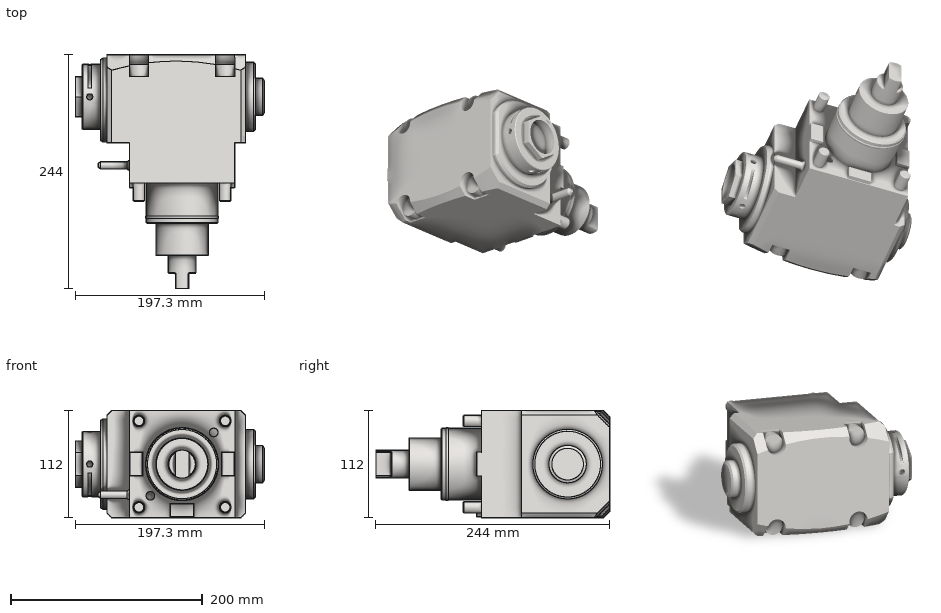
import cadquery as cq
import math


DRILL_TIP_ANGLE = 118.0

HEIGHT = 112.0
REAR_Y = 44.0
STEP_Y = -48.0
FRONT_Y = -90.0
LEFT_X = -78.4
RIGHT_X = 66.2
NARROW_HALF_WIDTH = 55.0
SIDE_CHAMFER = 5.0
MID_X = (LEFT_X + RIGHT_X) / 2

BEVEL_SETBACK = 6.7
BEVEL_RADIUS = 240.0
BEVEL_EXTENT = 100.0

SCREW_OFFSET = 45.0
SCREW_DIAMETER = 12.0
SCREW_END_Y = -109.0
SCREW_CHAMFER = 1.0
POCKET_WIDTH = 20.0
POCKET_DEPTH = 22.8
SCREW_HEAD_DIAMETER = 19.6
SCREW_HEAD_HEIGHT = 12.5

KEY_WIDTH = 25.0
KEY_INNER_EDGE = 41.0
KEY_OUTER_EDGE = 55.0
KEY_HEIGHT = 5.0
KEY_CHAMFER = 0.6

COOLANT_OFFSET = 33.0
COOLANT_DIAMETER = 9.0
COOLANT_DEPTH = 20.0
PLUG_RECESS = 1.0

SHANK_RADIUS = 37.5
SHANK_END_Y = -132.3
SHANK_CHAMFER = 1.4
ORING_Y = -125.6
ORING_HALF_WIDTH = 1.4
ORING_PROTRUSION = 0.6
COLLAR_RADIUS = 27.35
COLLAR_END_Y = -165.5
COLLAR_CHAMFER = 0.5
DRIVE_RADIUS = 14.6
DRIVE_SHOULDER_Y = -184.2
DRIVE_END_Y = -200.0
TANG_WIDTH = 14.0
TANG_ROOT_FILLET = 1.2
TANG_EDGE_CHAMFER = 0.8

FLANGE_RADIUS = 47.3
FLANGE_FLAT_Y = 40.5
FLANGE_FACE_X = -85.3
FLANGE_CHAMFER_LENGTH = 3.0
FLANGE_CHAMFER_DEPTH = 1.8

HEX_FLATS = 42.0
HEX_END_X = -111.4
BORE_DIAMETER = 37.0
BORE_DEPTH = 12.0

NUT_RADIUS = 34.1
NUT_FACE_X = -104.2
NUT_CHAMFER = 0.7
NUT_BORE_RADIUS = HEX_FLATS / math.sqrt(3) + 0.1
NUT_BORE_CHAMFER = 0.7
NUT_FEATURE_X = -96.3
NUT_HOLE_DIAMETER = 6.4
NUT_HOLE_DEPTH = 6.0
NUT_HOLE_COUNT = 4
NUT_SLOT_WIDTH = 3.3
NUT_SLOT_FLOOR = 29.7
NUT_SLOT_ANGLES = (45, 225)

COVER_RADIUS = 36.3
COVER_FACE_X = 76.4
COVER_CHAMFER = 2.0
STUB_RADIUS = 19.5
STUB_END_X = 85.9
STUB_CHAMFER_LENGTH = 3.0
STUB_CHAMFER_DEPTH = 1.8

PIN_Y = -71.5
PIN_Z = -32.0
PIN_RADIUS = 4.0
PIN_TIP_X = -87.6
PIN_TIP_LENGTH = 2.7
PIN_TIP_RADIUS = 1.8
PIN_FOOT_RADIUS = 5.4
PIN_FOOT_LENGTH = 2.4


def box(x_min, x_max, y_min, y_max, z_min, z_max):
    """Axis-aligned box between two corners."""
    size = (x_max - x_min, y_max - y_min, z_max - z_min)
    return cq.Workplane("XY").box(*size, centered=False).translate((x_min, y_min, z_min))


def cylinder_x(radius, x_start, x_end, y=0, z=0):
    """Cylinder along X."""
    plane = cq.Workplane("YZ", origin=(x_start, y, z))
    return plane.circle(radius).extrude(x_end - x_start)


def cylinder_y(radius, y_rear, y_front, x=0, z=0):
    """Cylinder along Y, from its rear end to its front end."""
    plane = cq.Workplane("XZ", origin=(x, y_rear, z))
    return plane.circle(radius).extrude(y_rear - y_front)


def drilled_hole_y(diameter, depth, y_mouth):
    """Blind hole on the Y axis, drilled towards +Y and ending in a cone."""
    radius = diameter / 2
    tip = radius / math.tan(math.radians(DRILL_TIP_ANGLE / 2))
    y_bottom = y_mouth + depth
    profile = [(0, y_mouth), (radius, y_mouth), (radius, y_bottom), (0, y_bottom + tip)]
    return cq.Workplane("XY").polyline(profile).close().revolve(360, (0, 0), (0, 1))


def make_bevel_cut():
    """Region outside the barrel-shaped bevel of the rear top edge."""
    slope = math.sqrt(0.5)
    half_width = RIGHT_X - MID_X + 1
    sag = BEVEL_RADIUS - math.sqrt(BEVEL_RADIUS**2 - half_width**2)
    side_depth = -sag * slope
    plane = cq.Plane(
        origin=(MID_X, REAR_Y - BEVEL_SETBACK, HEIGHT / 2),
        xDir=(1, 0, 0),
        normal=(0, -1, 1),
    )
    return (
        cq.Workplane(plane)
        .moveTo(-half_width, side_depth)
        .threePointArc((0, 0), (half_width, side_depth))
        .lineTo(half_width, BEVEL_EXTENT)
        .lineTo(-half_width, BEVEL_EXTENT)
        .close()
        .extrude(BEVEL_EXTENT, both=True)
    )


def make_block():
    half = HEIGHT / 2
    rear = box(LEFT_X, RIGHT_X, STEP_Y, REAR_Y, -half, half).edges("|Y").chamfer(SIDE_CHAMFER)
    front = box(-NARROW_HALF_WIDTH, NARROW_HALF_WIDTH, FRONT_Y, STEP_Y, -half, half)
    bevel = make_bevel_cut()
    return rear.union(front).cut(bevel).cut(bevel.mirror("XY"))


def make_screw_pocket(x, side):
    """U-shaped pocket open to the rear and to the top (side = 1) or bottom (side = -1)."""
    radius = POCKET_WIDTH / 2
    floor_y = REAR_Y - POCKET_DEPTH
    z_ends = sorted((side * SCREW_OFFSET, side * HEIGHT))
    channel = box(x - radius, x + radius, floor_y, REAR_Y, *z_ends)
    return channel.union(cylinder_y(radius, REAR_Y, floor_y, x, side * SCREW_OFFSET))


def make_screw(x, z):
    """Screw head in the pocket and threaded end in front of the block."""
    floor_y = REAR_Y - POCKET_DEPTH
    head = cylinder_y(SCREW_HEAD_DIAMETER / 2, floor_y + SCREW_HEAD_HEIGHT, floor_y, x, z)
    shaft = cylinder_y(SCREW_DIAMETER / 2, floor_y, SCREW_END_Y, x, z)
    return head.union(shaft.faces("<Y").chamfer(SCREW_CHAMFER))


def make_keys():
    """Left, bottom and right locating keys around the shank."""
    key = box(-KEY_WIDTH / 2, KEY_WIDTH / 2, FRONT_Y - KEY_HEIGHT, FRONT_Y, -KEY_OUTER_EDGE, -KEY_INNER_EDGE)
    key = key.faces("<Y").chamfer(KEY_CHAMFER)
    keys = key
    for angle in (-90, 90):
        keys = keys.union(key.rotate((0, 0, 0), (0, 1, 0), angle))
    return keys


def make_shank():
    body = cylinder_y(SHANK_RADIUS, FRONT_Y, SHANK_END_Y).faces("<Y").chamfer(SHANK_CHAMFER)
    oring = (
        cq.Workplane("XY")
        .moveTo(0, ORING_Y + ORING_HALF_WIDTH)
        .lineTo(SHANK_RADIUS, ORING_Y + ORING_HALF_WIDTH)
        .threePointArc(
            (SHANK_RADIUS + ORING_PROTRUSION, ORING_Y),
            (SHANK_RADIUS, ORING_Y - ORING_HALF_WIDTH),
        )
        .lineTo(0, ORING_Y - ORING_HALF_WIDTH)
        .close()
        .revolve(360, (0, 0), (0, 1))
    )
    collar = cylinder_y(COLLAR_RADIUS, SHANK_END_Y, COLLAR_END_Y).faces("<Y").chamfer(COLLAR_CHAMFER)
    return body.union(oring).union(collar).union(make_drive())


def make_drive():
    """Drive stub ending in a flat tang."""
    drive = cylinder_y(DRIVE_RADIUS, COLLAR_END_Y, DRIVE_END_Y)
    reach = DRIVE_RADIUS + 1
    for side in (-1, 1):
        x_ends = sorted((side * TANG_WIDTH / 2, side * reach))
        cutter = box(*x_ends, DRIVE_END_Y, DRIVE_SHOULDER_Y, -reach, reach)
        root = cutter.faces(">Y").edges("<X" if side > 0 else ">X")
        drive = drive.cut(root.fillet(TANG_ROOT_FILLET))
    tang_region = cq.selectors.BoxSelector(
        (-reach, DRIVE_END_Y, -reach), (reach, DRIVE_SHOULDER_Y, reach)
    )
    return drive.edges("|Y").edges(tang_region).chamfer(TANG_EDGE_CHAMFER)


def make_flange():
    """Left bearing flange with a flat towards the rear and a chamfered outer edge."""
    flat_half = math.sqrt(FLANGE_RADIUS**2 - FLANGE_FLAT_Y**2)
    flange = (
        cq.Workplane("YZ", origin=(FLANGE_FACE_X, 0, 0))
        .moveTo(FLANGE_FLAT_Y, flat_half)
        .threePointArc((-FLANGE_RADIUS, 0), (FLANGE_FLAT_Y, -flat_half))
        .close()
        .extrude(LEFT_X - FLANGE_FACE_X)
    )
    return flange.faces("<X").chamfer(FLANGE_CHAMFER_LENGTH, FLANGE_CHAMFER_DEPTH)


def make_spindle_nose():
    """Round seat for the nut, and the hexagon with its bore."""
    seat = cylinder_x(NUT_BORE_RADIUS, FLANGE_FACE_X, NUT_FACE_X + NUT_BORE_CHAMFER)
    hexagon = (
        cq.Workplane("YZ", origin=(HEX_END_X, 0, 0))
        .polygon(6, HEX_FLATS, circumscribed=True)
        .extrude(FLANGE_FACE_X - HEX_END_X)
    )
    bore = cylinder_x(BORE_DIAMETER / 2, HEX_END_X, HEX_END_X + BORE_DEPTH)
    return seat.union(hexagon).cut(bore)


def make_cover_and_stub():
    cover = cylinder_x(COVER_RADIUS, RIGHT_X, COVER_FACE_X).faces(">X").chamfer(COVER_CHAMFER)
    stub = cylinder_x(STUB_RADIUS, COVER_FACE_X, STUB_END_X)
    return cover.union(stub.faces(">X").chamfer(STUB_CHAMFER_DEPTH, STUB_CHAMFER_LENGTH))


def make_pin():
    """Pin with a conical tip and a flared foot, revolved about its own axis."""
    root_x = -NARROW_HALF_WIDTH
    profile = [
        (PIN_TIP_X, 0),
        (PIN_TIP_X, PIN_TIP_RADIUS),
        (PIN_TIP_X + PIN_TIP_LENGTH, PIN_RADIUS),
        (root_x - PIN_FOOT_LENGTH, PIN_RADIUS),
        (root_x, PIN_FOOT_RADIUS),
        (root_x, 0),
    ]
    pin = cq.Workplane("XY").polyline(profile).close().revolve(360, (0, 0), (1, 0))
    return pin.translate((0, PIN_Y, PIN_Z))


def make_housing():
    housing = make_block()
    for x in (-SCREW_OFFSET, SCREW_OFFSET):
        for side in (-1, 1):
            housing = housing.cut(make_screw_pocket(x, side))
            housing = housing.union(make_screw(x, side * SCREW_OFFSET))
    coolant_hole = drilled_hole_y(COOLANT_DIAMETER, COOLANT_DEPTH, FRONT_Y)
    housing = housing.cut(coolant_hole.translate((-COOLANT_OFFSET, 0, -COOLANT_OFFSET)))
    plug_recess = cylinder_y(
        COOLANT_DIAMETER / 2, FRONT_Y + PLUG_RECESS, FRONT_Y, COOLANT_OFFSET, COOLANT_OFFSET
    )
    housing = housing.cut(plug_recess)
    attachments = (
        make_keys(),
        make_shank(),
        make_flange(),
        make_spindle_nose(),
        make_cover_and_stub(),
        make_pin(),
    )
    for attachment in attachments:
        housing = housing.union(attachment)
    return housing


def make_nut():
    """Ring nut around the spindle nose, with radial spanner holes and two flat-floored slots."""
    nut = cylinder_x(NUT_RADIUS, NUT_FACE_X, FLANGE_FACE_X).faces("<X").chamfer(NUT_CHAMFER)
    nut = nut.cut(cylinder_x(NUT_BORE_RADIUS, NUT_FACE_X, FLANGE_FACE_X))
    nut = nut.faces("<X").edges("%CIRCLE").edges(cq.selectors.RadiusNthSelector(0)).chamfer(NUT_BORE_CHAMFER)

    hole = drilled_hole_y(NUT_HOLE_DIAMETER, NUT_HOLE_DEPTH, -NUT_RADIUS)
    hole = hole.translate((NUT_FEATURE_X, 0, 0))
    for index in range(NUT_HOLE_COUNT):
        nut = nut.cut(hole.rotate((0, 0, 0), (1, 0, 0), index * 360 / NUT_HOLE_COUNT))

    slot = box(
        NUT_FEATURE_X - NUT_SLOT_WIDTH / 2,
        NUT_FEATURE_X + NUT_SLOT_WIDTH / 2,
        NUT_SLOT_FLOOR,
        NUT_RADIUS + 1,
        -NUT_RADIUS,
        NUT_RADIUS,
    )
    for angle in NUT_SLOT_ANGLES:
        nut = nut.cut(slot.rotate((0, 0, 0), (1, 0, 0), angle))
    return nut


housing = make_housing()
nut = make_nut()
result = cq.Compound.makeCompound([housing.val(), nut.val()])